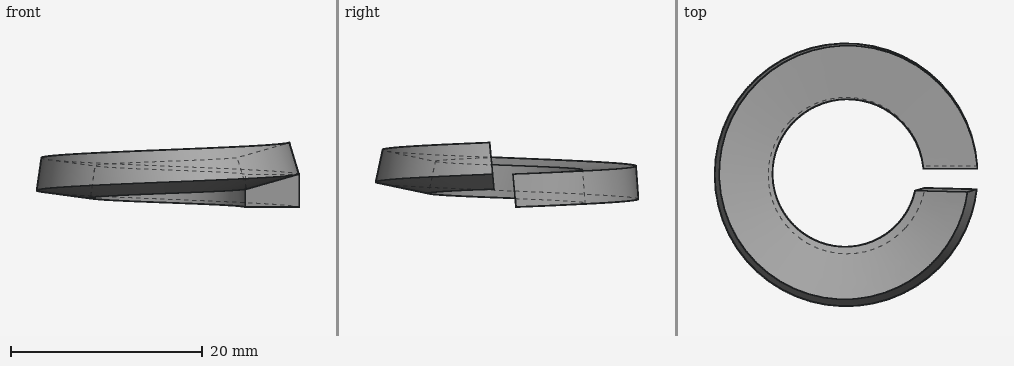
import cadquery as cq
import math

outer_radius = 13.7
section_width = 5.62
section_height = 3.45
coil_climb = 3.53
coil_lean = 16.2

coil_start = 1.0
coil_end = 359.0
curve_steps = 72

slot_width = 2.1
slot_lean = 5.2
slot_base_edge = 0.93
slot_reach = 16.45


def edge_along_coil(inward, up):
    """Curve followed by the section corner at this offset from the lower outer edge."""

    def corner(degrees):
        turn = degrees / 360
        lean = math.radians(coil_lean * turn)
        radius = outer_radius - inward * math.cos(lean) - up * math.sin(lean)
        height = coil_climb * turn - inward * math.sin(lean) + up * math.cos(lean)
        angle = math.radians(degrees)
        return (radius * math.cos(angle), radius * math.sin(angle), height)

    curve = cq.Workplane("XY").parametricCurve(
        corner, N=curve_steps, start=coil_start, stop=coil_end, makeWire=False
    )
    return curve.val()


def make_coil():
    """Closed solid of four twisted faces and two flat ends."""
    edges = [
        edge_along_coil(0, 0),
        edge_along_coil(section_width, 0),
        edge_along_coil(section_width, section_height),
        edge_along_coil(0, section_height),
    ]
    faces = [cq.Face.makeRuledSurface(edges[i - 1], edges[i]) for i in range(len(edges))]
    for end_points in ([e.startPoint() for e in edges], [e.endPoint() for e in edges]):
        faces.append(cq.Face.makeFromWires(cq.Wire.makePolygon(end_points, close=True)))
    return cq.Workplane(cq.Solid.makeSolid(cq.Shell.makeShell(faces)).fix())


def make_slot():
    """Leaning slab that opens the ring on its +X side."""
    shift = slot_reach * math.tan(math.radians(slot_lean))
    low_edge = slot_base_edge + shift
    high_edge = slot_base_edge - shift
    return (
        cq.Workplane("YZ")
        .moveTo(low_edge, -slot_reach)
        .lineTo(high_edge, slot_reach)
        .lineTo(high_edge - slot_width, slot_reach)
        .lineTo(low_edge - slot_width, -slot_reach)
        .close()
        .extrude(slot_reach)
    )


result = make_coil().cut(make_slot())